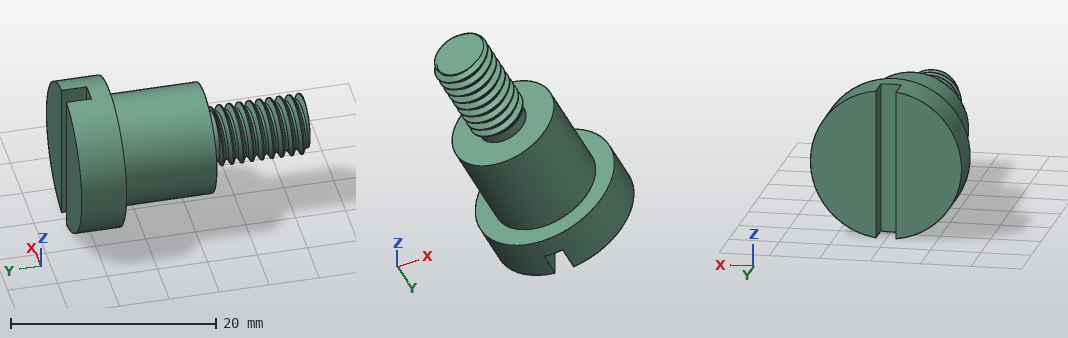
import cadquery as cq
import math

total_length = 24.0
head_diameter = 15.0
shoulder_diameter = 11.0
shoulder_length = 9.5
neck_diameter = 5.0

slot_width = 2.0
slot_depth = 2.5

thread_diameter = 5.93
thread_length = 9.0
thread_turns = 9
pitch = thread_length / thread_turns
crest_width = pitch / 8
root_width = pitch / 4
flank_slope = math.sqrt(3)
flank_width = (pitch - root_width - crest_width) / 2
thread_depth = flank_slope * flank_width
crest_radius = thread_diameter / 2
root_radius = crest_radius - thread_depth

neck_length = pitch
head_length = total_length - thread_length - neck_length - shoulder_length


def cylinder(diameter, start, length):
    return cq.Workplane("XY").workplane(offset=start).circle(diameter / 2).extrude(length)


def thread_ridge():
    """Helical ridge, one turn too long at each end and then trimmed flat."""
    embed = 0.05
    crest_half = crest_width / 2
    base_radius = root_radius - embed
    base_half = crest_half + (crest_radius - base_radius) / flank_slope
    start = -pitch
    helix_height = pitch * (thread_turns + 2)
    path = cq.Wire.makeHelix(pitch, helix_height, crest_radius, center=cq.Vector(0, 0, start))
    ridge = (
        cq.Workplane("XZ")
        .polyline([
            (base_radius, start - base_half),
            (crest_radius, start - crest_half),
            (crest_radius, start + crest_half),
            (base_radius, start + base_half),
        ])
        .close()
        .sweep(cq.Workplane(obj=path), isFrenet=True)
    )
    return ridge.intersect(cylinder(2 * thread_diameter, 0, thread_length))


def threaded_shank():
    """Core and ridge, turned so that the tip crest peaks on the +Z side of the part."""
    core = cylinder(2 * root_radius, 0, thread_length)
    return core.union(thread_ridge()).rotate((0, 0, 0), (0, 0, 1), -90)


def screw_slot():
    return (
        cq.Workplane("XY")
        .box(slot_width, head_diameter, slot_depth, centered=(True, True, False))
        .translate((0, 0, total_length - slot_depth))
    )


neck_start = thread_length
shoulder_start = neck_start + neck_length
head_start = shoulder_start + shoulder_length

screw = (
    cylinder(head_diameter, head_start, head_length)
    .cut(screw_slot())
    .union(cylinder(shoulder_diameter, shoulder_start, shoulder_length))
    .union(cylinder(neck_diameter, neck_start, neck_length))
    .union(threaded_shank())
)

result = screw.translate((0, 0, -total_length / 2)).rotate((0, 0, 0), (1, 0, 0), -90)